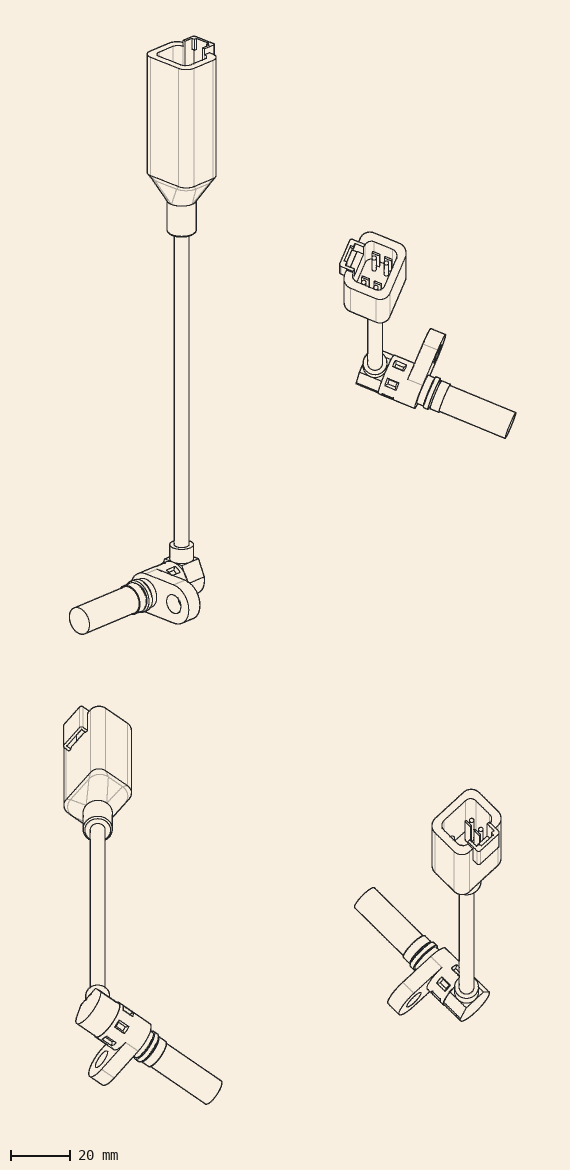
import cadquery as cq
import math


overall_height = 200.5
housing_diameter = 14.0
housing_radius = housing_diameter / 2
top_z = overall_height - housing_radius

cable_diameter = 5.0

plug_width = 20.5
plug_depth = 16.5
plug_corner = 3.6
plug_recess = 2.2
plug_top_z = top_z - plug_recess
plug_bottom_z = 148.0
shoulder_bottom_z = 146.4
shoulder_inset = 0.6
shoulder_corner = 4.6
taper_bottom_z = 138.3
sleeve_diameter = 9.8
sleeve_bottom_z = 126.7
sleeve_chamfer = 0.6
flat_remainder = 0.05

loop_width = 10.0

cavity_width = 14.8
cavity_back_y = 5.8
cavity_front_y = -5.6
cavity_corner = (cavity_width - loop_width) / 2
cavity_floor_z = 158.4

pin_diameter = 1.5
pin_spacing_x = 9.0
pin_spacing_y = 4.5
pin_length = 20.0
blade_thickness = 0.6
blade_width = 2.6
blade_offset = 1.6

loop_opening_width = 8.0
loop_back_y = 11.0
loop_wall = (loop_width - loop_opening_width) / 2
loop_bottom_z = 179.2
loop_outer_corner = 0.8
keyway_floor_z = 180.5
corner_block_width = 1.2
corner_block_depth = 1.0
corner_block_height = 4.0

boot_diameter = 8.0
boot_top_z = 12.2
elbow_back_y = boot_diameter / 2
elbow_front_y = -boot_diameter / 2
elbow_radius = 6.8
elbow_corner_z = 1.2
elbow_corner_x = math.sqrt(elbow_radius**2 - elbow_corner_z**2)

housing_front_y = -17.2
lug_thickness = 5.5
lug_hole_x = 13.0
lug_hole_diameter = 6.6

pocket_count = 6
pocket_width = 3.0
pocket_depth = 1.2
pocket_taper = 30
pocket_back_y = -5.5
pocket_front_y = -9.6

barrel_steps = [
    (10.2, -19.6),
    (8.8, -19.8),
    (11.2, -21.5),
    (9.5, -22.0),
    (10.2, -25.3),
    (9.5, -49.1),
]


def box_between(x_range, y_range, z_range):
    """Box spanning the given (low, high) ranges."""
    spans = [x_range, y_range, z_range]
    sizes = [high - low for low, high in spans]
    centre = tuple((low + high) / 2 for low, high in spans)
    return cq.Workplane("XY").box(*sizes).translate(centre)


def upright_cylinder(diameter, bottom_z, top):
    """Cylinder on the cable axis."""
    return cq.Workplane("XY").workplane(offset=bottom_z).circle(diameter / 2).extrude(top - bottom_z)


def section_facing_front(start_y):
    """Work plane across the sensor axis: local x is X, local y is Z, extrusion runs towards -Y."""
    return cq.Workplane("XZ", origin=(0, start_y, 0))


def rounded_outline(width, depth, corner):
    return cq.Sketch().rect(width, depth).vertices().fillet(corner)


def rounded_loft(low_z, low_outline, high_z, high_outline):
    """Straight-sided transition between two rounded outlines."""
    return (
        cq.Workplane("XY")
        .placeSketch(
            low_outline.moved(cq.Location(cq.Vector(0, 0, low_z))),
            high_outline.moved(cq.Location(cq.Vector(0, 0, high_z))),
        )
        .loft(ruled=True)
    )


def make_plug_shell():
    full = rounded_outline(plug_width, plug_depth, plug_corner)
    shoulder = rounded_outline(
        plug_width - 2 * shoulder_inset, plug_depth - 2 * shoulder_inset, shoulder_corner
    )
    near_round = rounded_outline(
        sleeve_diameter, sleeve_diameter, (sleeve_diameter - flat_remainder) / 2
    )
    body = (
        cq.Workplane("XY")
        .workplane(offset=plug_bottom_z)
        .placeSketch(full)
        .extrude(plug_top_z - plug_bottom_z)
    )
    sleeve = upright_cylinder(sleeve_diameter, sleeve_bottom_z, taper_bottom_z)
    sleeve = sleeve.faces("<Z").chamfer(sleeve_chamfer)
    return (
        body
        .union(rounded_loft(shoulder_bottom_z, shoulder, plug_bottom_z, full))
        .union(rounded_loft(taper_bottom_z, near_round, shoulder_bottom_z, shoulder))
        .union(sleeve)
    )


def make_latch_loop():
    loop = box_between(
        (-loop_width / 2, loop_width / 2), (cavity_back_y, loop_back_y), (loop_bottom_z, top_z)
    )
    return loop.edges("|Z and >Y").fillet(loop_outer_corner)


def make_loop_opening():
    """Window behind the plug wall, joined to a keyway in that wall.

    A small block stays in each back corner of the opening, at the top.
    """
    half_width = loop_opening_width / 2
    inner_back_y = loop_back_y - loop_wall
    x_range = (-half_width, half_width)
    window = box_between(x_range, (plug_depth / 2, inner_back_y), (loop_bottom_z, top_z))
    keyway = box_between(x_range, (cavity_back_y, plug_depth / 2), (keyway_floor_z, top_z))
    opening = window.union(keyway)
    corner_block = box_between(
        (half_width - corner_block_width, half_width),
        (inner_back_y - corner_block_depth, inner_back_y),
        (top_z - corner_block_height, top_z),
    )
    return opening.cut(corner_block).cut(corner_block.mirror("YZ"))


def make_cavity():
    depth = cavity_back_y - cavity_front_y
    centre_y = (cavity_back_y + cavity_front_y) / 2
    return (
        cq.Workplane("XY", origin=(0, centre_y, cavity_floor_z))
        .placeSketch(rounded_outline(cavity_width, depth, cavity_corner))
        .extrude(plug_top_z - cavity_floor_z)
    )


def make_pins():
    """Four round pins, each with a flat blade on its +X side."""
    base = cq.Workplane("XY").workplane(offset=cavity_floor_z)
    pins = base.rarray(pin_spacing_x, pin_spacing_y, 2, 2).circle(pin_diameter / 2).extrude(pin_length)
    blades = (
        base.center(blade_offset, 0)
        .rarray(pin_spacing_x, pin_spacing_y, 2, 2)
        .rect(blade_thickness, blade_width)
        .extrude(pin_length)
    )
    return pins.union(blades)


def make_plug():
    return (
        make_plug_shell()
        .union(make_latch_loop())
        .cut(make_cavity())
        .cut(make_loop_opening())
        .union(make_pins())
    )


def make_elbow():
    """Round-bottomed block with sloping shoulders below the cable boot."""
    half_top = boot_diameter / 2
    block = (
        section_facing_front(elbow_back_y)
        .moveTo(-half_top, housing_radius)
        .lineTo(half_top, housing_radius)
        .lineTo(elbow_corner_x, elbow_corner_z)
        .threePointArc((0, -elbow_radius), (-elbow_corner_x, elbow_corner_z))
        .close()
        .extrude(elbow_back_y - elbow_front_y)
    )
    return block.union(upright_cylinder(boot_diameter, 0, boot_top_z))


def make_housing():
    """Round housing with a ring of shallow tapered pockets."""
    housing = (
        section_facing_front(elbow_front_y)
        .circle(housing_radius)
        .extrude(elbow_front_y - housing_front_y)
    )
    pocket_length = pocket_back_y - pocket_front_y
    pocket = (
        cq.Workplane("YZ", origin=(housing_radius, (pocket_back_y + pocket_front_y) / 2, 0))
        .rect(pocket_length, pocket_width)
        .extrude(-pocket_depth, taper=pocket_taper)
    )
    for index in range(pocket_count):
        angle = index * 360 / pocket_count
        housing = housing.cut(pocket.rotate((0, 0, 0), (0, 1, 0), angle))
    return housing


def make_lug():
    lug = (
        section_facing_front(housing_front_y + lug_thickness)
        .center(lug_hole_x / 2, 0)
        .slot2D(lug_hole_x + housing_diameter, housing_diameter)
        .extrude(lug_thickness)
    )
    return lug.faces("<Y").workplane(origin=(lug_hole_x, 0, 0)).hole(lug_hole_diameter)


def add_barrel(sensor):
    """Add the stepped barrel in front of the housing."""
    start_y = housing_front_y
    for diameter, end_y in barrel_steps:
        step = section_facing_front(start_y).circle(diameter / 2).extrude(start_y - end_y)
        sensor = sensor.union(step)
        start_y = end_y
    return sensor


cable = upright_cylinder(cable_diameter, 0, taper_bottom_z)

sensor = add_barrel(make_elbow().union(make_housing()).union(make_lug()))

result = make_plug().union(cable).union(sensor)